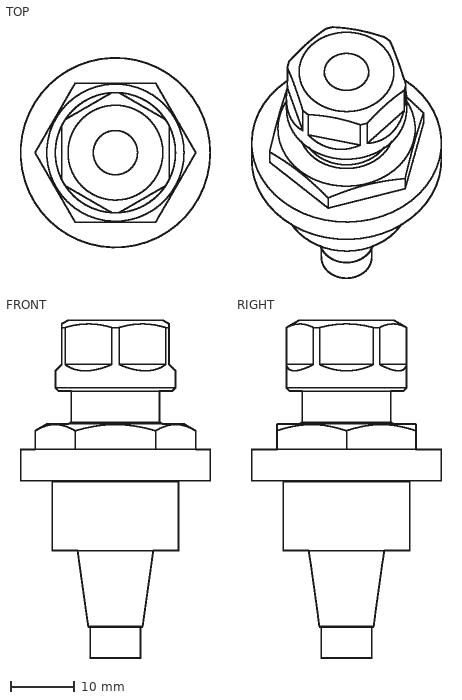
import cadquery as cq
import math

pin_top = 4.9
gauge_level = 15.2
body_bottom = 17.0
flange_bottom = 28.0
flange_top = 33.0
hex_top = 37.0
total_height = 53.4
nut_height = 11.2
nut_bottom = total_height - nut_height

pin_diameter = 8.0
gauge_diameter = 11.5
taper_half_angle = 8.0
taper_end_chamfer = 0.1
body_diameter = 20.0
relief_depth = 0.15
relief_height = 0.1
flange_diameter = 30.0
collar_diameter = 15.0
collar_height = 0.3
neck_diameter = 14.0
bore_diameter = 7.0

hex_sides = 6
hex_flats = 22.0
hex_chamfer_diameter = 21.7
nut_diameter = 19.0
nut_flats = 17.0
nut_top_diameter = 15.0
nut_bottom_chamfer = 0.5
nut_flat_height = 7.0
shoulder_slope = 45.0
crown_angle = 30.0


def disc(diameter, bottom, top):
    """Vertical cylinder on the part axis."""
    return cq.Workplane("XY").workplane(offset=bottom).circle(diameter / 2).extrude(top - bottom)


def revolved(profile):
    """Solid of revolution from (radius, height) points."""
    return cq.Workplane("XZ").polyline(profile).close().revolve(360, (0, 0, 0), (0, 1, 0))


def crown_drop(outer_radius, top_radius):
    """Height lost between two radii of a crown cone."""
    return (outer_radius - top_radius) * math.tan(math.radians(crown_angle))


def taper_radius(level):
    """Radius of the collet taper at a given height."""
    return gauge_diameter / 2 + (level - gauge_level) * math.tan(math.radians(taper_half_angle))


def make_taper():
    """Cone narrowing down to the pin, with a small chamfer at its lower edge."""
    chamfer_top = pin_top + taper_end_chamfer
    end_radius = taper_radius(chamfer_top)
    return revolved([
        (0, pin_top),
        (end_radius - taper_end_chamfer, pin_top),
        (end_radius, chamfer_top),
        (taper_radius(body_bottom), body_bottom),
        (0, body_bottom),
    ])


def make_body():
    """Cylinder with a shallow relief groove against the flange."""
    relief_level = flange_bottom - relief_height
    body = disc(body_diameter, body_bottom, relief_level)
    return body.union(disc(body_diameter - 2 * relief_depth, relief_level, flange_bottom))


def make_hex_collar():
    """Hexagon with corners on X, crowned on top."""
    corner_radius = hex_flats / math.sqrt(3)
    top_radius = hex_chamfer_diameter / 2
    hexagon = (
        cq.Workplane("XY").workplane(offset=flange_top)
        .polygon(hex_sides, 2 * corner_radius).extrude(hex_top - flange_top)
    )
    crown = revolved([
        (0, flange_top),
        (corner_radius, flange_top),
        (corner_radius, hex_top - crown_drop(corner_radius, top_radius)),
        (top_radius, hex_top),
        (0, hex_top),
    ])
    return hexagon.intersect(crown)


def make_neck():
    """Shaft below the nut, rising from a low conical collar on the hexagon."""
    neck_radius = neck_diameter / 2
    return revolved([
        (0, hex_top),
        (collar_diameter / 2, hex_top),
        (neck_radius, hex_top + collar_height),
        (neck_radius, nut_bottom),
        (0, nut_bottom),
    ])


def make_nut():
    """Round nut with six flats ending on sloped shoulders, and a blind bore."""
    outer_radius = nut_diameter / 2
    top_radius = nut_top_diameter / 2
    nut = revolved([
        (0, nut_bottom),
        (outer_radius - nut_bottom_chamfer, nut_bottom),
        (outer_radius, nut_bottom + nut_bottom_chamfer),
        (outer_radius, total_height - crown_drop(outer_radius, top_radius)),
        (top_radius, total_height),
        (0, total_height),
    ])
    flat_distance = nut_flats / 2
    flat_bottom = total_height - nut_flat_height
    cut_reach = nut_diameter - flat_distance
    shoulder_drop = cut_reach * math.tan(math.radians(shoulder_slope))
    flat_cutter = (
        cq.Workplane("XZ")
        .moveTo(flat_distance, flat_bottom)
        .lineTo(flat_distance, total_height)
        .lineTo(nut_diameter, total_height)
        .lineTo(nut_diameter, flat_bottom - shoulder_drop)
        .close()
        .extrude(outer_radius, both=True)
    )
    for side in range(hex_sides):
        nut = nut.cut(flat_cutter.rotate((0, 0, 0), (0, 0, 1), 360 / hex_sides * side))
    return nut.cut(disc(bore_diameter, nut_bottom, total_height))


result = (
    disc(pin_diameter, 0, pin_top)
    .union(make_taper())
    .union(make_body())
    .union(disc(flange_diameter, flange_bottom, flange_top))
    .union(make_hex_collar())
    .union(make_neck())
    .union(make_nut())
)